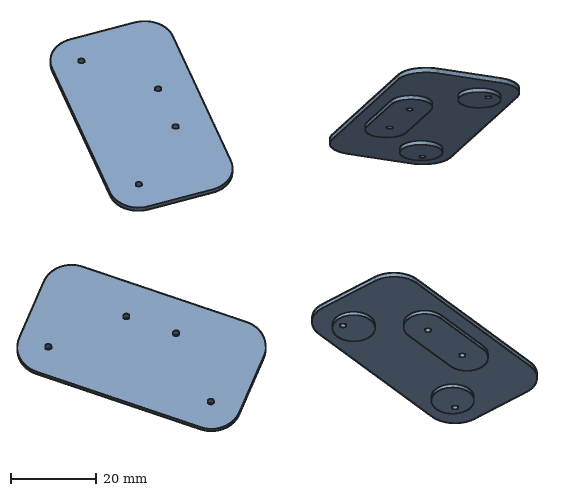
import cadquery as cq

plate_length = 55.2
plate_width = 30.0
plate_thickness = 1.2
corner_radius = 7.0

pad_height = 1.0
pad_diameter = 10.0
pad_row_offset = 6.5
bar_length = 25.2
disc_spacing = 36.0

hole_diameter = 1.5
back_hole_spacing = 12.5
back_hole_y = 6.3
front_hole_spacing = 40.75
front_hole_y = -7.8


def mirrored_pair(spacing, y):
    """Two points at the given Y, placed evenly about the YZ plane."""
    return [(-spacing / 2, y), (spacing / 2, y)]


plate = (
    cq.Workplane("XY")
    .rect(plate_length, plate_width)
    .extrude(plate_thickness)
    .edges("|Z")
    .fillet(corner_radius)
)

bar_pad = (
    cq.Workplane("XY")
    .center(0, pad_row_offset)
    .slot2D(bar_length, pad_diameter)
    .extrude(-pad_height)
)

disc_pads = (
    cq.Workplane("XY")
    .pushPoints(mirrored_pair(disc_spacing, -pad_row_offset))
    .circle(pad_diameter / 2)
    .extrude(-pad_height)
)

hole_points = (
    mirrored_pair(back_hole_spacing, back_hole_y)
    + mirrored_pair(front_hole_spacing, front_hole_y)
)
holes = (
    cq.Workplane("XY", origin=(0, 0, -pad_height))
    .pushPoints(hole_points)
    .circle(hole_diameter / 2)
    .extrude(pad_height + plate_thickness)
)

result = plate.union(bar_pad).union(disc_pads).cut(holes)